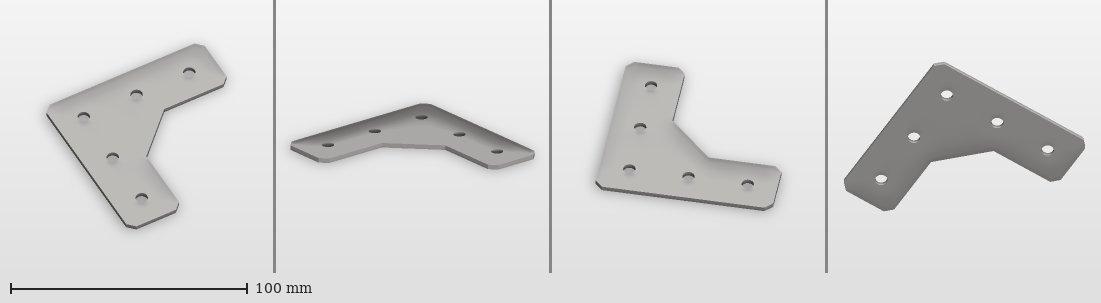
import cadquery as cq

pitch = 25.4
holes_per_arm = 3
thickness = 2.032
corner_chamfer = 3.175
gusset_leg = 19.05
hole_diameter = 5.2

arm_width = pitch
arm_length = holes_per_arm * pitch
edge_distance = arm_width / 2


def l_plate():
    """L-shaped plate with its outer corner at the origin and a web across its inner corner."""
    web_end = arm_width + gusset_leg
    outline = [
        (0, 0),
        (arm_length, 0),
        (arm_length, arm_width),
        (web_end, arm_width),
        (arm_width, web_end),
        (arm_width, arm_length),
        (0, arm_length),
    ]
    return cq.Workplane("XY").polyline(outline).close().extrude(thickness)


def chamfer_outer_corners(plate):
    """Clip the outer corner and both corners at the end of each arm."""
    corners = [
        (0, 0),
        (arm_length, 0),
        (arm_length, arm_width),
        (arm_width, arm_length),
        (0, arm_length),
    ]
    for x, y in corners:
        nearest_edge = cq.selectors.NearestToPointSelector((x, y, thickness / 2))
        plate = plate.edges("|Z").edges(nearest_edge).chamfer(corner_chamfer)
    return plate


def hole_centers():
    """One row of holes along each arm, sharing the corner hole."""
    steps = [edge_distance + i * pitch for i in range(holes_per_arm)]
    x_arm = [(step, edge_distance) for step in steps]
    y_arm = [(edge_distance, step) for step in steps[1:]]
    return x_arm + y_arm


def drill_holes(plate):
    """Drill the mounting holes through the plate."""
    drills = cq.Workplane("XY").pushPoints(hole_centers()).circle(hole_diameter / 2).extrude(thickness)
    return plate.cut(drills)


result = drill_holes(chamfer_outer_corners(l_plate()))